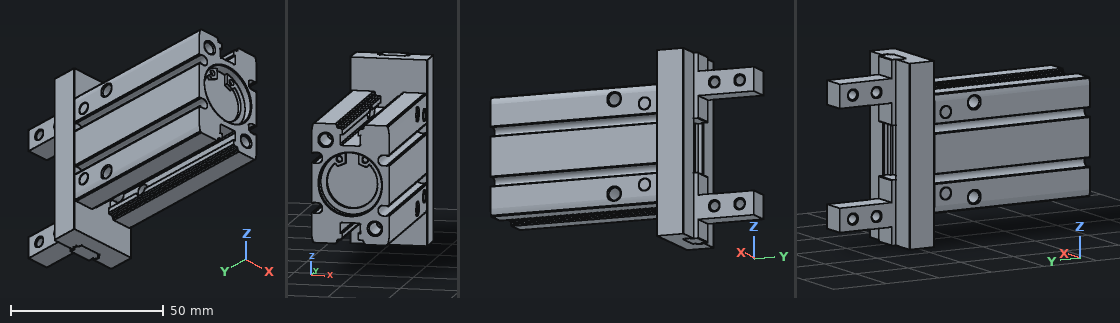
import cadquery as cq


WIDTH = 26.0
OVERALL_LENGTH = 90.0
FLANGE_HEIGHT = 62.2
BODY_HEIGHT = 40.0
BODY_LENGTH = 59.1
FLANGE_FRONT = 68.7
FLANGE_CHAMFER = 0.225

RELIEF_START = 17.5
RELIEF_END = 19.6
RELIEF_DEPTH = 0.405
RELIEF_RADIUS = 13.0
CORNER_BEVEL = 0.45

SLOT_MOUTH_WIDTH = 9.0
SLOT_MOUTH_FLOOR = 18.5
SLOT_NECK_WIDTH = 5.2
SLOT_NECK_FLOOR = 16.4
SLOT_WIDTH = 6.8
SLOT_FLOOR = 12.9
SLOT_BEVEL = 0.45
SLOT_FLOOR_BEVEL = 0.45

GROOVE_Z = 8.4
GROOVE_DIAMETER = 3.5
GROOVE_CENTRE_DEPTH = 1.9
GROOVE_LIP_WIDTH = 3.0
GROOVE_LIP_DEPTH = 0.5
GROOVE_LIP_BEVEL = 0.3

BORE_DIAMETER = 21.0
BORE_MOUTH_DIAMETER = 21.5
RING_FACE_DEPTH = 2.8
RING_THICKNESS = 1.2
RING_INNER_RADIUS = 8.55
RING_GAP = 4.6
LUG_HEIGHT = 6.4
LUG_CORNER_X = 4.8
LUG_CORNER_Z = 5.3
LUG_HOLE_DIAMETER = 2.0
LUG_HOLE_X = 4.3
LUG_HOLE_Z = 7.7

HOLE_DIAMETER = 4.1
HOLE_MOUTH_DIAMETER = 5.0
CROSS_HOLE_Y = 44.0
CROSS_HOLE_Z = 15.8
REAR_HOLE_X = 8.3
REAR_HOLE_Z = 14.5
REAR_HOLE_DEPTH = 12.0

PIN_DIAMETER = 4.0
PIN_RING_DIAMETER = 4.1
PIN_RING_DEPTH = 0.2
PIN_Y = 54.8
PIN_Z = 13.6

RAIL_WIDTH = 8.4
RAIL_BACK = 64.9
RAIL_FRONT = 70.2
RAIL_INNER_Z = 9.1
RAIL_CHAMFER = 0.2
EAR_Y = 67.0
EAR_REACH = 0.7
EAR_ROOT_HEIGHT = 2.2
EAR_TIP_HEIGHT = 1.2
GUIDE_REACH = 1.1
GUIDE_ROOT_HEIGHT = 2.5
GUIDE_TIP_HEIGHT = 1.4

ARM_HEIGHT = 8.2
ARM_Z = 20.7
ARM_HOLE_DIAMETER = 3.2
ARM_HOLE_MOUTH_DIAMETER = 4.0
ARM_HOLE_YS = (76.0, 85.0)

HALF_WIDTH = WIDTH / 2
HALF_BODY = BODY_HEIGHT / 2
HALF_FLANGE = FLANGE_HEIGHT / 2
SIDES = (-1, 1)


def along_y(y_start):
    """Sketch plane in X and Z; a negative extrusion runs toward +Y."""
    return cq.Workplane("XZ", origin=(0, y_start, 0))


def disc_along_y(diameter, y_start, length):
    return along_y(y_start).circle(diameter / 2).extrude(-length)


def cone_along_y(start_diameter, end_diameter, y_start):
    """45 degree cone that narrows toward +Y."""
    depth = (start_diameter - end_diameter) / 2
    return cq.Workplane(
        cq.Solid.makeCone(
            start_diameter / 2, end_diameter / 2, depth, cq.Vector(0, y_start, 0), cq.Vector(0, 1, 0)
        )
    )


def cross_hole(diameter, mouth_diameter, width, y, z):
    """Hole through the full width along X, countersunk at both ends."""
    hole = cq.Workplane("YZ", origin=(-width / 2, y, z)).circle(diameter / 2).extrude(width)
    depth = (mouth_diameter - diameter) / 2
    for side in SIDES:
        mouth = cq.Solid.makeCone(
            mouth_diameter / 2,
            diameter / 2,
            depth,
            cq.Vector(side * width / 2, y, z),
            cq.Vector(-side, 0, 0),
        )
        hole = hole.union(cq.Workplane(mouth))
    return hole


def body_block():
    relief_x = HALF_WIDTH - RELIEF_DEPTH
    top_x = relief_x - CORNER_BEVEL
    return (
        along_y(0)
        .moveTo(0, -HALF_BODY)
        .lineTo(top_x, -HALF_BODY)
        .lineTo(relief_x, -RELIEF_END)
        .radiusArc((HALF_WIDTH, -RELIEF_START), -RELIEF_RADIUS)
        .lineTo(HALF_WIDTH, RELIEF_START)
        .radiusArc((relief_x, RELIEF_END), -RELIEF_RADIUS)
        .lineTo(top_x, HALF_BODY)
        .lineTo(0, HALF_BODY)
        .mirrorY()
        .extrude(-BODY_LENGTH)
    )


def flange_plate():
    thickness = FLANGE_FRONT - BODY_LENGTH
    return (
        cq.Workplane("XY")
        .box(WIDTH, thickness, FLANGE_HEIGHT)
        .translate((0, BODY_LENGTH + thickness / 2, 0))
        .edges("|Z")
        .chamfer(FLANGE_CHAMFER)
    )


def top_slot():
    mouth = SLOT_MOUTH_WIDTH / 2
    neck = SLOT_NECK_WIDTH / 2
    wide = SLOT_WIDTH / 2
    return (
        along_y(0)
        .moveTo(0, HALF_BODY)
        .lineTo(mouth + SLOT_BEVEL, HALF_BODY)
        .lineTo(mouth, HALF_BODY - SLOT_BEVEL)
        .lineTo(mouth, SLOT_MOUTH_FLOOR + SLOT_BEVEL)
        .lineTo(mouth - SLOT_BEVEL, SLOT_MOUTH_FLOOR)
        .lineTo(neck + SLOT_BEVEL, SLOT_MOUTH_FLOOR)
        .lineTo(neck, SLOT_MOUTH_FLOOR - SLOT_BEVEL)
        .lineTo(neck, SLOT_NECK_FLOOR)
        .lineTo(wide, SLOT_NECK_FLOOR)
        .lineTo(wide, SLOT_FLOOR + SLOT_FLOOR_BEVEL)
        .lineTo(wide - SLOT_FLOOR_BEVEL, SLOT_FLOOR)
        .lineTo(0, SLOT_FLOOR)
        .mirrorY()
        .extrude(-BODY_LENGTH)
    )


def side_groove():
    """Round-bottomed groove in the +X side, narrowed by a lip and flared at its mouth."""
    radius = GROOVE_DIAMETER / 2
    lip = GROOVE_LIP_WIDTH / 2
    centre_x = HALF_WIDTH - GROOVE_CENTRE_DEPTH
    lip_x = HALF_WIDTH - GROOVE_LIP_DEPTH
    shoulder_x = lip_x - GROOVE_LIP_BEVEL
    flare_x = HALF_WIDTH - GROOVE_LIP_BEVEL
    return (
        along_y(0)
        .moveTo(HALF_WIDTH, GROOVE_Z + radius)
        .lineTo(flare_x, GROOVE_Z + lip)
        .lineTo(lip_x, GROOVE_Z + lip)
        .lineTo(shoulder_x, GROOVE_Z + radius)
        .lineTo(centre_x, GROOVE_Z + radius)
        .threePointArc((centre_x - radius, GROOVE_Z), (centre_x, GROOVE_Z - radius))
        .lineTo(shoulder_x, GROOVE_Z - radius)
        .lineTo(lip_x, GROOVE_Z - lip)
        .lineTo(flare_x, GROOVE_Z - lip)
        .lineTo(HALF_WIDTH, GROOVE_Z - radius)
        .close()
        .extrude(-BODY_LENGTH)
    )


def bore():
    depth = RING_FACE_DEPTH + RING_THICKNESS
    return disc_along_y(BORE_DIAMETER, 0, depth).union(
        cone_along_y(BORE_MOUTH_DIAMETER, BORE_DIAMETER, 0)
    )


def snap_ring():
    """Ring seated in the bore, with two drilled lugs beside a gap at the top."""
    band = disc_along_y(BORE_DIAMETER, RING_FACE_DEPTH, RING_THICKNESS)
    opening = disc_along_y(2 * RING_INNER_RADIUS, RING_FACE_DEPTH, RING_THICKNESS)
    reach = BORE_DIAMETER
    lugs = (
        along_y(RING_FACE_DEPTH)
        .moveTo(0, LUG_HEIGHT)
        .lineTo(RING_GAP / 2, LUG_HEIGHT)
        .lineTo(LUG_CORNER_X, LUG_CORNER_Z)
        .lineTo(LUG_CORNER_X + reach, LUG_CORNER_Z + reach)
        .lineTo(0, LUG_CORNER_Z + reach)
        .mirrorY()
        .extrude(-RING_THICKNESS)
        .intersect(disc_along_y(BORE_DIAMETER, RING_FACE_DEPTH, RING_THICKNESS))
    )
    gap = (
        along_y(RING_FACE_DEPTH)
        .center(0, BORE_DIAMETER / 2)
        .rect(RING_GAP, BORE_DIAMETER)
        .extrude(-RING_THICKNESS)
    )
    lug_holes = (
        along_y(RING_FACE_DEPTH)
        .pushPoints([(side * LUG_HOLE_X, LUG_HOLE_Z) for side in SIDES])
        .circle(LUG_HOLE_DIAMETER / 2)
        .extrude(-RING_THICKNESS)
    )
    return band.cut(opening).union(lugs).cut(gap).cut(lug_holes)


def rear_hole():
    return disc_along_y(HOLE_DIAMETER, 0, REAR_HOLE_DEPTH).union(
        cone_along_y(HOLE_MOUTH_DIAMETER, HOLE_DIAMETER, 0)
    )


def cross_pin(side):
    return (
        cq.Workplane("YZ", origin=(-HALF_WIDTH, PIN_Y, side * PIN_Z))
        .circle(PIN_DIAMETER / 2)
        .extrude(WIDTH)
    )


def pin_ring(x_side, z_side):
    """Shallow ring around the end of a pin in a side face."""
    return (
        cq.Workplane("YZ", origin=(x_side * HALF_WIDTH, PIN_Y, z_side * PIN_Z))
        .circle(PIN_RING_DIAMETER / 2)
        .circle(PIN_DIAMETER / 2)
        .extrude(-x_side * PIN_RING_DEPTH)
    )


def rail_section(front, reach, root_height, tip_height):
    """Cross-section in X and Y of a rail or its guide, with a tapered ear on each side."""
    half = RAIL_WIDTH / 2
    root = root_height / 2
    tip = tip_height / 2
    return (
        cq.Workplane("XY")
        .moveTo(0, RAIL_BACK)
        .lineTo(half, RAIL_BACK)
        .lineTo(half, EAR_Y - root)
        .lineTo(half + reach, EAR_Y - tip)
        .lineTo(half + reach, EAR_Y + tip)
        .lineTo(half, EAR_Y + root)
        .lineTo(half, front)
        .lineTo(0, front)
        .mirrorY()
    )


def make_housing():
    housing = body_block()
    for side in SIDES:
        slot = top_slot() if side > 0 else top_slot().mirror("XY")
        housing = housing.cut(slot).union(cross_pin(side))
    for x_side in SIDES:
        groove = side_groove() if x_side > 0 else side_groove().mirror("YZ")
        for z_side in SIDES:
            housing = housing.cut(groove if z_side > 0 else groove.mirror("XY"))
            housing = housing.cut(pin_ring(x_side, z_side))
    housing = housing.cut(bore()).union(snap_ring())
    for side in SIDES:
        housing = housing.cut(
            cross_hole(HOLE_DIAMETER, HOLE_MOUTH_DIAMETER, WIDTH, CROSS_HOLE_Y, side * CROSS_HOLE_Z)
        )
        housing = housing.cut(rear_hole().translate((-side * REAR_HOLE_X, 0, side * REAR_HOLE_Z)))
    guide = (
        rail_section(FLANGE_FRONT, GUIDE_REACH, GUIDE_ROOT_HEIGHT, GUIDE_TIP_HEIGHT)
        .extrude(HALF_FLANGE, both=True)
    )
    return housing.union(flange_plate().cut(guide))


def make_finger(side):
    """Finger above (+1) or below (-1) the middle plane."""
    rail = (
        rail_section(RAIL_FRONT, EAR_REACH, EAR_ROOT_HEIGHT, EAR_TIP_HEIGHT)
        .extrude(HALF_FLANGE - RAIL_INNER_Z)
        .translate((0, 0, RAIL_INNER_Z))
        .faces(">Y")
        .edges("|X")
        .chamfer(RAIL_CHAMFER)
    )
    arm_length = OVERALL_LENGTH - EAR_Y
    arm = (
        cq.Workplane("XY")
        .box(RAIL_WIDTH, arm_length, ARM_HEIGHT)
        .translate((0, OVERALL_LENGTH - arm_length / 2, ARM_Z))
    )
    finger = rail.union(arm)
    for hole_y in ARM_HOLE_YS:
        finger = finger.cut(
            cross_hole(ARM_HOLE_DIAMETER, ARM_HOLE_MOUTH_DIAMETER, RAIL_WIDTH, hole_y, ARM_Z)
        )
    return finger if side > 0 else finger.mirror("XY")


housing = make_housing()
fingers = [make_finger(side) for side in SIDES]

result = cq.Compound.makeCompound([housing.val(), *[finger.val() for finger in fingers]])